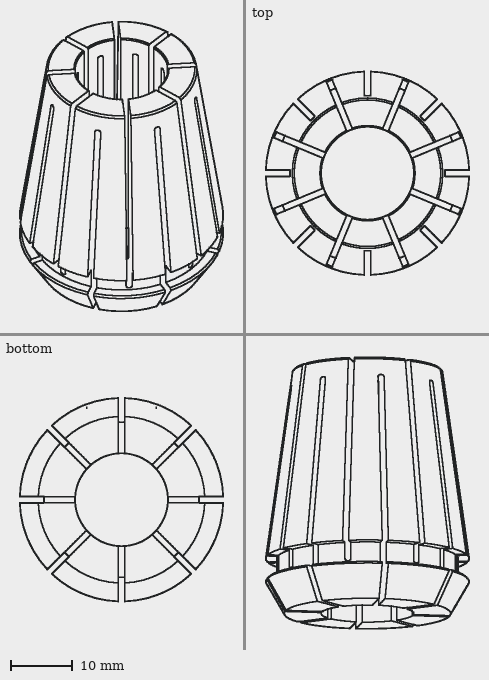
import cadquery as cq
import math

length = 40.0
max_radius = 16.5
bore_diameter = 15.0
bore_chamfer = 0.2

taper_angle = 8.0
taper_base_z = 9.05
top_chamfer = 0.3

groove_radius = 14.7
groove_base_z = 5.55
rim_chamfer = 0.3
nose_radius = 13.5

slot_width = 1.0
slot_corner_radius = 0.45
slots_per_end = 8
upper_slot_end_z = 6.0
lower_slot_end_z = 37.05

bore_radius = bore_diameter / 2
slot_pitch = 360.0 / slots_per_end
slot_reach = max_radius + slot_width
top_radius = max_radius - (length - taper_base_z) * math.tan(math.radians(taper_angle))
chamfer_base_radius = top_radius + top_chamfer * math.tan(math.radians(taper_angle))


def collet_body():
    """Revolve the half section about the Z axis."""
    section = [
        (bore_radius, 0),
        (nose_radius, 0),
        (max_radius, groove_base_z - rim_chamfer),
        (max_radius - rim_chamfer, groove_base_z),
        (groove_radius, groove_base_z),
        (groove_radius, taper_base_z),
        (max_radius, taper_base_z),
        (chamfer_base_radius, length - top_chamfer),
        (chamfer_base_radius - top_chamfer, length),
        (bore_radius + bore_chamfer, length),
        (bore_radius, length - bore_chamfer),
    ]
    return cq.Workplane("XZ").polyline(section).close().revolve(360, (0, 0), (0, 1))


def upward_slot(blind_end_z, slot_length):
    """Radial slot cutter along +X, running up from a blind end with filleted corners."""
    return (
        cq.Workplane("XY", origin=(0, 0, blind_end_z))
        .box(slot_reach, slot_width, slot_length, centered=(False, True, False))
        .faces("<Z")
        .edges("|X")
        .fillet(slot_corner_radius)
    )


def cut_ring(body, cutter, first_angle):
    """Cut a ring of equally spaced slots into the body."""
    for index in range(slots_per_end):
        angle = first_angle + index * slot_pitch
        body = body.cut(cutter.rotate((0, 0, 0), (0, 0, 1), angle))
    return body


upper_slot = upward_slot(upper_slot_end_z, length - upper_slot_end_z)
lower_slot = upward_slot(-lower_slot_end_z, lower_slot_end_z).mirror("XY")

result = collet_body()
result = cut_ring(result, lower_slot, 0)
result = cut_ring(result, upper_slot, slot_pitch / 2)